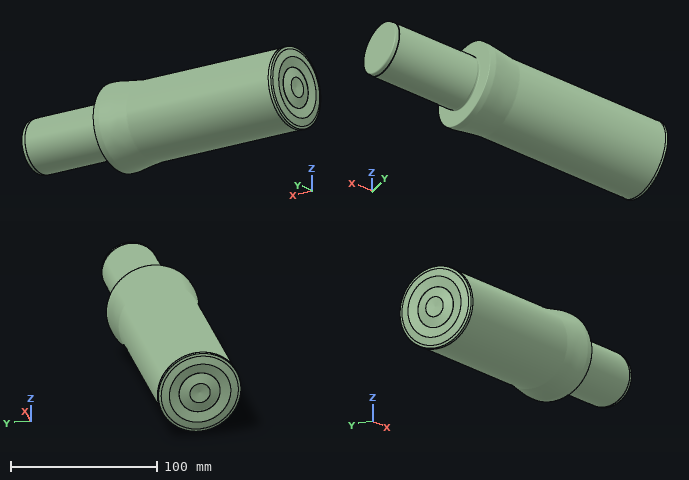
import cadquery as cq
import math


barrel_radius = 58.0 / 2

bead_front_radius = barrel_radius - 0.15
bead_crest_radius = barrel_radius + 0.27
bead_crest_x = 1.9
bead_end_radius = barrel_radius + 0.15
bead_end_x = 3.0
bead_chamfer_length = 0.4

flange_face_x = 150.0
flange_radius = 64.0 / 2
flange_length = 5.1
flange_edge_round = 0.5
flare_angle = math.radians(8)
flare_blend_radius = 5.0

shank_length = 70.0
shank_radius = 40.0 / 2
relief_radius = 39.5 / 2
undercut_length = 2.1
undercut_corner_round = 0.6
undercut_exit_angle = math.radians(15)
lead_in_length = 3.2
lead_in_chamfer = shank_radius - relief_radius
shank_end_round = 1.0

crest_radius = 21.5
crest_slope = math.radians(10.5)
dome_base_radius = 13.75
dome_groove_radius = 14.35
dome_crest_radius = 7.1
dome_slope = math.radians(13.5)
dimple_slope = math.radians(7)
dimple_flat_radius = 0.3

insert_radius = 27.0
insert_depth = bead_end_x + bead_chamfer_length

match_tolerance = 1e-4


def revolve_about_x(profile):
    return profile.close().revolve(360, (0, 0, 0), (1, 0, 0))


def drop(inner_radius, outer_radius, slope):
    """Distance along X that a cone of this slope covers between two radii."""
    return (outer_radius - inner_radius) * math.tan(slope)


def round_ring_edge(body, x, radius, round_radius):
    """Round the circular edge that passes through (x, radius)."""

    def passes_through(edge):
        in_plane = math.isclose(edge.Center().x, x, abs_tol=match_tolerance)
        return in_plane and math.isclose(edge.radius(), radius, abs_tol=match_tolerance)

    rings = [edge for edge in body.edges("%CIRCLE").vals() if passes_through(edge)]
    return body.newObject(rings).fillet(round_radius)


def make_post():
    rim_inner_x = drop(crest_radius, insert_radius, crest_slope)
    bead_front_x = drop(crest_radius, bead_front_radius, crest_slope)
    flange_start = flange_face_x - flange_length
    flare_start = flange_start - (flange_radius - barrel_radius) / math.tan(flare_angle)
    undercut_end = flange_face_x + undercut_length
    exit_length = (shank_radius - relief_radius) / math.tan(undercut_exit_angle)
    shank_end = flange_face_x + shank_length
    lead_in_start = shank_end - lead_in_length

    profile = (
        cq.Workplane("XY")
        .moveTo(insert_depth, 0)
        .lineTo(insert_depth, insert_radius)
        .lineTo(rim_inner_x, insert_radius)
        .lineTo(bead_front_x, bead_front_radius)
        .threePointArc((bead_crest_x, bead_crest_radius), (bead_end_x, bead_end_radius))
        .lineTo(bead_end_x + bead_chamfer_length, barrel_radius)
        .lineTo(flare_start, barrel_radius)
        .lineTo(flange_start, flange_radius)
        .lineTo(flange_face_x, flange_radius)
        .lineTo(flange_face_x, relief_radius)
        .lineTo(undercut_end - exit_length, relief_radius)
        .lineTo(undercut_end, shank_radius)
        .lineTo(lead_in_start - lead_in_chamfer, shank_radius)
        .lineTo(lead_in_start, relief_radius)
        .lineTo(shank_end, relief_radius)
        .lineTo(shank_end, 0)
    )
    post = revolve_about_x(profile)
    post = round_ring_edge(post, flare_start, barrel_radius, flare_blend_radius)
    post = round_ring_edge(post, flange_start, flange_radius, flare_blend_radius)
    post = round_ring_edge(post, flange_face_x, flange_radius, flange_edge_round)
    post = round_ring_edge(post, flange_face_x, relief_radius, undercut_corner_round)
    return round_ring_edge(post, shank_end, relief_radius, shank_end_round)


def make_insert():
    dome_base_x = drop(dome_crest_radius, dome_base_radius, dome_slope)
    dimple_flat_x = drop(dimple_flat_radius, dome_crest_radius, dimple_slope)
    inner_slope_end_x = drop(dome_groove_radius, crest_radius, crest_slope)
    rim_x = drop(crest_radius, insert_radius, crest_slope)
    profile = (
        cq.Workplane("XY")
        .moveTo(dimple_flat_x, 0)
        .lineTo(dimple_flat_x, dimple_flat_radius)
        .lineTo(0, dome_crest_radius)
        .lineTo(dome_base_x, dome_base_radius)
        .lineTo(dome_base_x, dome_groove_radius)
        .lineTo(inner_slope_end_x, dome_groove_radius)
        .lineTo(0, crest_radius)
        .lineTo(rim_x, insert_radius)
        .lineTo(insert_depth, insert_radius)
        .lineTo(insert_depth, 0)
    )
    return revolve_about_x(profile)


post = make_post()
insert = make_insert()
result = cq.Compound.makeCompound([post.val(), insert.val()])